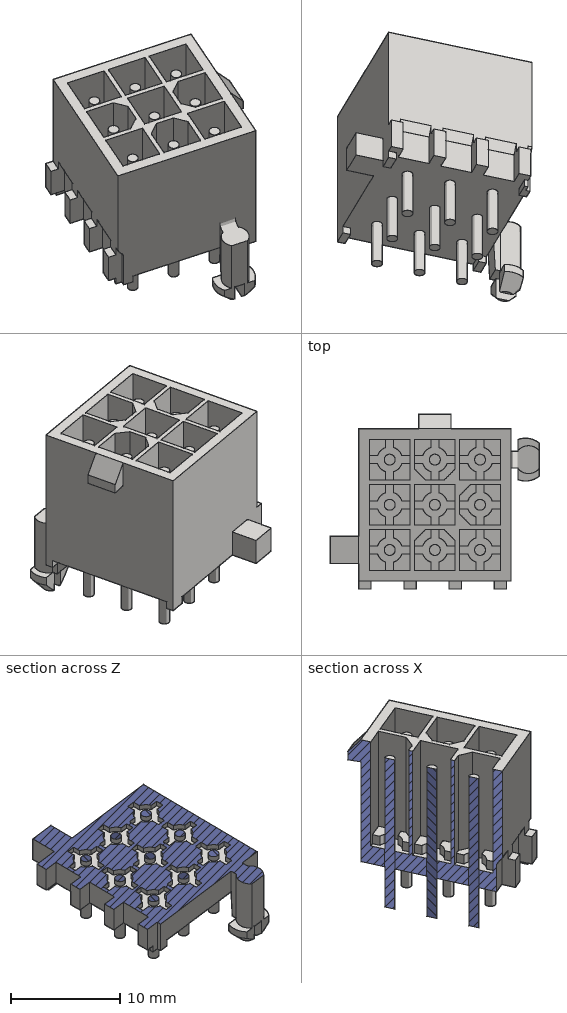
import cadquery as cq
import math


housing_side = 13.96
housing_height = 13.48
half_side = housing_side / 2

contacts_per_side = 3
pitch = 4.14
contact_offsets = [(i - (contacts_per_side - 1) / 2) * pitch for i in range(contacts_per_side)]

rib_width = 1.15
rib_projection = 0.75
rib_height = 3.0
recess_depth = 0.6
recess_slope_height = 0.88

cavity_side = 3.72
cavity_floor_z = rib_height
key_chamfer = 1.0
floor_pocket_diameter = 2.34
floor_slot_width = 0.73
floor_pocket_depth = 1.0

pin_diameter = 1.0
pin_top_z = housing_height - 1.4
pin_tip_z = -4.42

foot_width = 0.75
foot_length = 1.51
foot_height = 0.73

block_length = 2.6
block_side = 2.53
block_front_inset = 1.59

latch_width = 2.99
latch_projection = 1.32
latch_slope_drop = 1.67
latch_root_drop = 2.49
latch_lip_drop = 2.59

peg_gap = 0.61
peg_thickness = 1.97
peg_diameter = 2.55
peg_top_z = block_side
peg_x = half_side + peg_gap + peg_thickness / 2
peg_y = pitch
barb_x = half_side + 1.32
barb_radius = 1.97
barb_tip_radius = 0.77
barb_top_z = -2.9
barb_cone_z = -3.7
barb_tip_z = -5.1
barb_slot_width = 1.0
web_width = 1.57
web_toe_offset = 0.11
web_fillet = peg_gap


def box(x_min, x_max, y_min, y_max, z_min, z_max):
    """Axis-aligned box given by its limits."""
    size = (x_max - x_min, y_max - y_min, z_max - z_min)
    return cq.Workplane("XY").box(*size, centered=False).translate((x_min, y_min, z_min))


def cylinder(x, y, diameter, z_min, z_max):
    """Upright cylinder given by its axis and end heights."""
    disc = cq.Workplane("XY", origin=(x, y, z_min)).circle(diameter / 2)
    return disc.extrude(z_max - z_min)


def corner_feet():
    """One foot under each corner of the housing block."""
    inset_x = half_side - foot_width / 2
    inset_y = half_side - foot_length / 2
    corners = [(sx * inset_x, sy * inset_y) for sx in (-1, 1) for sy in (-1, 1)]
    return cq.Workplane("XY").pushPoints(corners).rect(foot_width, foot_length).extrude(-foot_height)


def front_rib(x_start):
    """Rib standing out from the lower front face."""
    front_y = -half_side - rib_projection
    return box(x_start, x_start + rib_width, front_y, -half_side, 0, rib_height)


def front_recess(x_start, x_end):
    """Cutter for the shallow recess beside a rib; its roof slopes up to the front face."""
    inner_y = -half_side + recess_depth
    profile = [
        (-half_side, -foot_height),
        (inner_y, -foot_height),
        (inner_y, rib_height),
        (-half_side, rib_height + recess_slope_height),
    ]
    outline = cq.Workplane("YZ", origin=(x_start, 0, 0)).polyline(profile).close()
    return outline.extrude(x_end - x_start)


def side_block():
    """Square locating block on the -X face."""
    y_min = -half_side + block_front_inset
    return box(-half_side - block_length, -half_side, y_min, y_min + block_side, 0, block_side)


def latch_ramp():
    """Ramped latch on the +Y face, level with the top."""
    outer_y = half_side + latch_projection
    profile = [
        (half_side, housing_height),
        (outer_y, housing_height - latch_slope_drop),
        (outer_y, housing_height - latch_lip_drop),
        (half_side, housing_height - latch_root_drop),
    ]
    return cq.Workplane("YZ").polyline(profile).close().extrude(latch_width / 2, both=True)


def snap_peg():
    """Flat-sided round post ending in a slotted, conical barb."""
    post = cylinder(peg_x, peg_y, peg_diameter, barb_top_z, peg_top_z)
    barb_profile = [
        (0, barb_top_z),
        (barb_radius, barb_top_z),
        (barb_radius, barb_cone_z),
        (barb_tip_radius, barb_tip_z),
        (0, barb_tip_z),
    ]
    barb = (
        cq.Workplane("XZ")
        .polyline(barb_profile)
        .close()
        .revolve(360, (0, 0, 0), (0, 1, 0))
        .translate((barb_x, peg_y, 0))
    )
    flats = box(
        peg_x - peg_thickness / 2, peg_x + peg_thickness / 2,
        peg_y - barb_radius, peg_y + barb_radius,
        barb_tip_z, peg_top_z,
    )
    slot = box(
        peg_x - peg_thickness, peg_x + peg_thickness,
        peg_y - barb_slot_width / 2, peg_y + barb_slot_width / 2,
        barb_tip_z, barb_top_z,
    )
    return post.union(barb).intersect(flats).cut(slot)


def peg_web():
    """Web joining the snap peg to the +X face, with a concave fillet at its upper root."""
    fillet_middle = web_fillet * (1 - math.sqrt(0.5))
    outline = (
        cq.Workplane("XZ", origin=(0, peg_y, 0))
        .moveTo(half_side, peg_top_z + web_fillet)
        .threePointArc(
            (half_side + fillet_middle, peg_top_z + fillet_middle),
            (half_side + web_fillet, peg_top_z),
        )
        .lineTo(peg_x, peg_top_z)
        .lineTo(peg_x, barb_top_z)
        .lineTo(half_side + web_toe_offset, barb_top_z)
        .lineTo(half_side, -foot_height)
        .close()
    )
    return outline.extrude(web_width / 2, both=True)


def cavity(x, y, keyed_edges=None):
    """Cutter for one square cavity; keyed_edges selects the upright edges that are chamfered."""
    half = cavity_side / 2
    well = box(x - half, x + half, y - half, y + half, cavity_floor_z, housing_height)
    if keyed_edges:
        well = well.faces(keyed_edges).edges("|Z").chamfer(key_chamfer)
    return well


def floor_pocket(x, y):
    """Cutter for the round pocket and crossed slots sunk into a cavity floor."""
    pocket_z = cavity_floor_z - floor_pocket_depth
    arm = cavity_side / 2
    half_slot = floor_slot_width / 2
    round_pocket = cylinder(x, y, floor_pocket_diameter, pocket_z, cavity_floor_z)
    slot_x = box(x - arm, x + arm, y - half_slot, y + half_slot, pocket_z, cavity_floor_z)
    slot_y = box(x - half_slot, x + half_slot, y - arm, y + arm, pocket_z, cavity_floor_z)
    return round_pocket.union(slot_x).union(slot_y)


def contact_pin(x, y):
    """Round contact pin; also the cutter for its hole in the housing."""
    return cylinder(x, y, pin_diameter, pin_tip_z, pin_top_z)


def make_housing():
    body = box(-half_side, half_side, -half_side, half_side, 0, housing_height)
    body = body.union(corner_feet())

    for i in range(contacts_per_side + 1):
        rib_x = -half_side + i * pitch
        recess_end = min(rib_x + pitch, half_side)
        body = body.cut(front_recess(rib_x + rib_width, recess_end))
        body = body.union(front_rib(rib_x))

    for feature in (side_block(), latch_ramp(), snap_peg(), peg_web()):
        body = body.union(feature)

    keyed_cavities = {(1, 0): ">Y", (2, 1): "<X", (1, 2): "<Y"}
    for column, x in enumerate(contact_offsets):
        for row, y in enumerate(contact_offsets):
            well = cavity(x, y, keyed_cavities.get((column, row)))
            body = body.cut(well).cut(floor_pocket(x, y)).cut(contact_pin(x, y))
    return body


housing = make_housing()
pins = [contact_pin(x, y) for x in contact_offsets for y in contact_offsets]

result = cq.Compound.makeCompound([housing.solids().val(), *[pin.val() for pin in pins]])